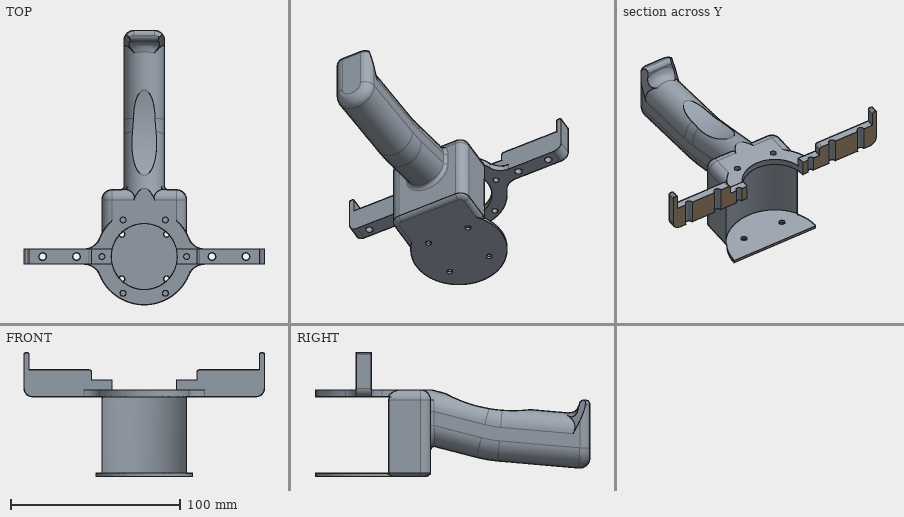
import cadquery as cq
import math

base_thickness = 2.0
block_gap = 45.1
ring_thickness = 4.0
tab_height = 6.0
arm_step = 6.0
post_height = 10.0

ring_bottom = base_thickness + block_gap
ring_top = ring_bottom + ring_thickness
tab_top = ring_top + tab_height
arm_top = tab_top + arm_step
post_top = arm_top + post_height

ring_radius = 28.5
bore_radius = 19.5
recess_radius = 29.0
bolt_circle_radius = 25.0
bolt_count = 6
bolt_diameter = 3.5
base_hole_radius = 18.7
base_hole_count = 4
base_hole_diameter = 3.4
base_hole_angle = 45.0

block_width = 50.0
block_back = 39.5
block_fillet = 6.0
base_edge_radius = 4.0

arm_reach = 71.0
arm_width = 9.0
arm_step_x = 31.0
arm_step_fillet = 1.7
arm_heel_fillet = 5.0
arm_hole_positions = (40.0, 60.0)
arm_hole_diameter = 4.3
post_thickness = 3.0
post_tip_fillet = 1.0
flare_radius = 10.0

grip_radius = 12.0
grip_flat = 8.0
neck_angle = math.radians(14.5)
grip_angle = math.radians(5.0)
neck_start_y = 28.0
bend_start_y = 70.4
bend_start_z = 26.8
bend_length = 10.0
handle_end = 133.52
end_fillet = 6.0
neck_fillet = 2.0

hook_top = 45.3
hook_tip_thickness = 5.8
hook_tip_fillet = 3.0
hook_lean = math.radians(11.5)
hook_root_fillet = 6.0
hook_start_y = 110.0
corner_low = (grip_radius, 123.7, 25.6)
corner_side = (grip_radius, 132.3, 41.9)
corner_tip = (7.7, handle_end - hook_tip_thickness, hook_top)

scoop_near = (50.8, 47.7)
scoop_far = (95.8, 39.3)
scoop_depth = 3.2

big = 200.0
tolerance = 0.01


def cylinder(radius, bottom, top):
    return cq.Workplane("XY").workplane(offset=bottom).circle(radius).extrude(top - bottom)


def trim_box(y_min=-big, y_max=big, z_max=big):
    """Large box that keeps only what lies inside the given limits."""
    return (
        cq.Workplane("XY")
        .box(2 * big, y_max - y_min, z_max + big)
        .translate((0, (y_min + y_max) / 2, (z_max - big) / 2))
    )


def block_prism(bottom, top, margin=0.0):
    """Block footprint from the ring centre to the back, grown outwards by a margin."""
    return (
        cq.Workplane("XY")
        .workplane(offset=bottom)
        .moveTo(0, (block_back + margin) / 2)
        .rect(block_width + 2 * margin, block_back + margin)
        .extrude(top - bottom)
        .edges("|Z and >Y")
        .fillet(block_fillet + margin)
    )


def make_base():
    """Disc and block foot, whose rounded edge starts at a small step under the block's sides."""
    rise = base_edge_radius - base_thickness
    margin = base_edge_radius - math.sqrt(base_edge_radius**2 - rise**2)
    foot = block_prism(0, 2 * base_edge_radius, margin)
    foot = foot.faces("<Z").edges("not <Y").fillet(base_edge_radius)
    foot = foot.intersect(trim_box(z_max=base_thickness))
    base = cylinder(ring_radius, 0, base_thickness).union(foot)
    holes = (
        cq.Workplane("XY")
        .polarArray(base_hole_radius, base_hole_angle, 360, base_hole_count)
        .circle(base_hole_diameter / 2)
        .extrude(base_thickness)
    )
    return base.cut(holes)


def make_block():
    return block_prism(base_thickness, ring_top).faces(">Z").edges("not <Y").fillet(block_fillet)


def make_ring():
    """Flat ring with concave flares that run tangent into the arms."""
    flare_y = arm_width / 2 + flare_radius
    flare_x = math.sqrt((ring_radius + flare_radius) ** 2 - flare_y**2)
    flare_block = (
        cq.Workplane("XY")
        .workplane(offset=ring_bottom)
        .rect(2 * flare_x, 2 * flare_y)
        .extrude(ring_thickness)
    )
    hollows = (
        cq.Workplane("XY")
        .workplane(offset=ring_bottom)
        .rect(2 * flare_x, 2 * flare_y, forConstruction=True)
        .vertices()
        .circle(flare_radius)
        .extrude(ring_thickness)
    )
    tangent = ring_radius / (ring_radius + flare_radius)
    limit = (
        cq.Workplane("XY")
        .workplane(offset=ring_bottom)
        .polyline(
            [
                (0, 0),
                (tangent * flare_x, tangent * flare_y),
                (flare_x, flare_y),
                (flare_x, -flare_y),
                (tangent * flare_x, -tangent * flare_y),
            ]
        )
        .close()
        .extrude(ring_thickness)
    )
    limit = limit.union(limit.mirror("YZ"))
    flares = flare_block.cut(hollows).intersect(limit)
    return cylinder(ring_radius, ring_bottom, ring_top).union(flares)


def make_arm(side):
    profile = (
        cq.Workplane("XZ")
        .moveTo(0, ring_bottom)
        .lineTo(side * arm_reach, ring_bottom)
        .lineTo(side * arm_reach, post_top)
        .lineTo(side * (arm_reach - post_thickness), post_top)
        .lineTo(side * (arm_reach - post_thickness), arm_top)
        .lineTo(side * arm_step_x, arm_top)
        .lineTo(side * arm_step_x, tab_top)
        .lineTo(0, tab_top)
        .close()
        .extrude(arm_width / 2, both=True)
    )
    outer = ">X" if side > 0 else "<X"
    arm = profile.edges("|Y").edges(outer).edges("<Z").fillet(arm_heel_fillet)
    step_edge = cq.selectors.NearestToPointSelector((side * arm_step_x, 0, arm_top))
    arm = arm.edges(step_edge).fillet(arm_step_fillet)
    arm = arm.faces(">Z").edges("|Y").fillet(post_tip_fillet)
    holes = (
        cq.Workplane("XY")
        .workplane(offset=ring_bottom)
        .pushPoints([(side * x, 0) for x in arm_hole_positions])
        .circle(arm_hole_diameter / 2)
        .extrude(arm_top - ring_bottom)
    )
    return arm.cut(holes)


bend_end_y = bend_start_y + bend_length
bend_end_z = bend_start_z - bend_length * math.tan((neck_angle + grip_angle) / 2)


def grip_axis_height(y):
    """Height of the grip axis at a place beyond the bend."""
    return bend_end_z - (y - bend_end_y) * math.tan(grip_angle)


def axis_plane(y, z, fall_angle):
    """Section plane across the axis, with its local Y pointing up and its normal along the handle."""
    normal = (0, math.cos(fall_angle), -math.sin(fall_angle))
    return cq.Plane(origin=(0, y, z), xDir=(-1, 0, 0), normal=normal)


def make_grip():
    """Slot section swept down the neck, round the bend and past the handle end."""
    neck_start_z = bend_start_z + (bend_start_y - neck_start_y) * math.tan(neck_angle)
    path_end = handle_end + end_fillet
    path = (
        cq.Workplane("YZ")
        .moveTo(neck_start_y, neck_start_z)
        .lineTo(bend_start_y, bend_start_z)
        .tangentArcPoint((bend_end_y, bend_end_z), relative=False)
        .lineTo(path_end, grip_axis_height(path_end))
    )
    return (
        cq.Workplane(axis_plane(neck_start_y, neck_start_z, neck_angle))
        .slot2D(grip_flat + 2 * grip_radius, 2 * grip_radius, 90)
        .sweep(path)
    )


def make_end_envelope():
    """Outer limit of the handle end: grip section drawn up to the hook top, with rounded end edges."""
    low_z = -grip_flat / 2
    envelope = (
        cq.Workplane(axis_plane(hook_start_y, grip_axis_height(hook_start_y), grip_angle))
        .moveTo(-grip_radius, low_z)
        .threePointArc((0, low_z - grip_radius), (grip_radius, low_z))
        .lineTo(grip_radius, 2 * hook_top)
        .lineTo(-grip_radius, 2 * hook_top)
        .close()
        .extrude(handle_end - hook_start_y + 2 * end_fillet)
    )
    envelope = envelope.intersect(trim_box(y_max=handle_end, z_max=hook_top))
    envelope = envelope.faces(">Y").edges("not >Z").fillet(end_fillet)
    return envelope.faces(">Z").edges("not <Y").fillet(hook_tip_fillet)


def hook_front_y(z):
    """Place of the hook's leaning front plane at a height."""
    return handle_end - hook_tip_thickness - (hook_top - z) * math.tan(hook_lean)


def make_hook(grip):
    """Leaning wall blended into the grip by a root fillet; its sides are still untrimmed."""
    half_width = 3 * grip_radius
    bottom = -grip_radius
    wall = (
        cq.Workplane("YZ")
        .moveTo(handle_end, bottom)
        .lineTo(handle_end, hook_top)
        .lineTo(hook_front_y(hook_top), hook_top)
        .lineTo(hook_front_y(bottom), bottom)
        .close()
        .extrude(half_width, both=True)
    )
    wall = wall.faces(">Z").edges("|X").fillet(hook_tip_fillet)
    joined = grip.intersect(trim_box(y_max=handle_end)).union(wall)
    root_edges = [
        edge
        for edge in joined.edges().vals()
        if abs(edge.Center().x) < grip_radius + tolerance
        and edge.BoundingBox().xlen < half_width
        and abs(edge.startPoint().y - hook_front_y(edge.startPoint().z)) < tolerance
        and abs(edge.endPoint().y - hook_front_y(edge.endPoint().z)) < tolerance
    ]
    return joined.newObject(root_edges).fillet(hook_root_fillet)


def make_corner_cutter():
    """Block lying on the plane that trims the +X front corner of the hook."""
    low = cq.Vector(*corner_low)
    along = cq.Vector(*corner_side) - low
    normal = along.cross(cq.Vector(*corner_tip) - low)
    plane = cq.Plane(origin=low.toTuple(), xDir=along.toTuple(), normal=normal.toTuple())
    return cq.Workplane(plane).rect(big, big).extrude(big)


def make_scoop():
    """Cylinder across the handle that dips into the grip's crest between the scoop ends."""
    near = cq.Vector(0, *scoop_near)
    chord = cq.Vector(0, *scoop_far) - near
    radius = (chord.Length**2 / 4 + scoop_depth**2) / (2 * scoop_depth)
    upward = cq.Vector(0, -chord.z, chord.y).normalized()
    centre = near + chord * 0.5 + upward * (radius - scoop_depth)
    return cq.Workplane("YZ").moveTo(centre.y, centre.z).circle(radius).extrude(2 * grip_radius, both=True)


def make_neck_blend(grip):
    """Fillet collar between the grip and the flat part of the block's back face."""
    wall = cq.Workplane("XZ", origin=(0, block_back, 0)).rect(big, big).extrude(block_back)
    joined = wall.union(grip.intersect(trim_box(y_min=block_back / 2)))
    loop = [
        edge
        for edge in joined.edges().vals()
        if abs(edge.Center().y - block_back) < tolerance
        and edge.BoundingBox().ylen < tolerance
        and edge.BoundingBox().zlen < big / 2
        and edge.BoundingBox().xlen < big / 2
    ]
    collar = joined.newObject(loop).fillet(neck_fillet)
    flat_back_top = ring_top - block_fillet
    return collar.intersect(
        trim_box(y_min=block_back, y_max=block_back + 2 * neck_fillet, z_max=flat_back_top)
    )


def make_handle():
    grip = make_grip()
    envelope = make_end_envelope()
    corner_cutter = make_corner_cutter()
    hook = make_hook(grip).intersect(envelope).cut(corner_cutter).cut(corner_cutter.mirror("YZ"))
    handle = grip.intersect(trim_box(y_max=hook_start_y + grip_radius / 2))
    handle = handle.union(grip.intersect(envelope)).union(hook)
    handle = handle.cut(make_scoop()).intersect(trim_box(z_max=ring_top))
    return handle.union(make_neck_blend(grip))


def make_bracket():
    """Block, ring, arms and handle in one piece, opened for the base disc and the bore."""
    bracket = make_block().union(make_handle()).cut(cylinder(recess_radius, base_thickness, ring_bottom))
    bracket = bracket.union(make_ring())
    for side in (1, -1):
        bracket = bracket.union(make_arm(side))
    bolts = (
        cq.Workplane("XY")
        .workplane(offset=ring_bottom)
        .polarArray(bolt_circle_radius, 0, 360, bolt_count)
        .circle(bolt_diameter / 2)
        .extrude(tab_top - ring_bottom)
    )
    return bracket.cut(cylinder(bore_radius, ring_bottom, tab_top)).cut(bolts)


base = make_base()
bracket = make_bracket()
result = cq.Compound.makeCompound([base.solids().val(), bracket.solids().val()])